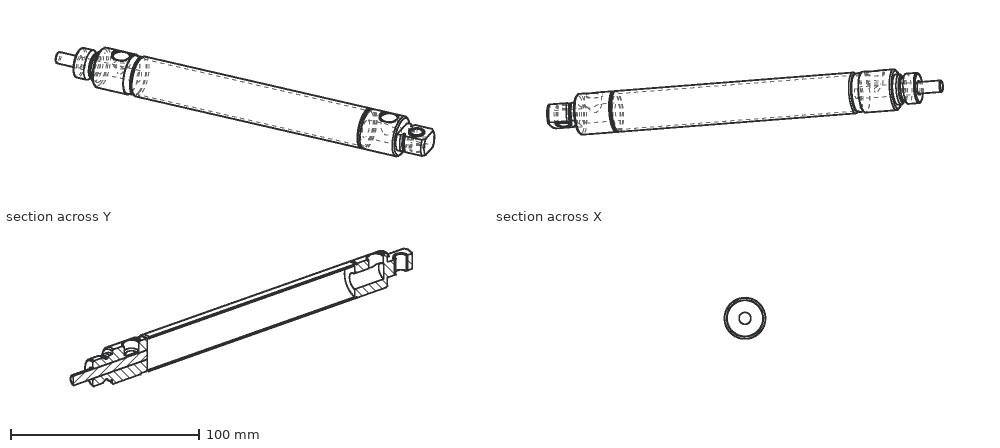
import cadquery as cq
import math

TOTAL_LENGTH = 216.7

BODY_DIA = 21.9
THREAD_DIA = 16.3
ROD_DIA = 6.3
BODY_CHAMFER = 0.9
ROD_CHAMFER = 0.55

NOSE_START = 12.5
NOSE_CHAMFER = 0.7
ROD_HOLE_CHAMFER = 0.7
NOSE_RELIEF_START = 19.0
NOSE_RELIEF_END = 23.0
RELIEF_DIA = 13.0
RELIEF_EDGE_CHAMFER = 0.98
FRONT_HEAD_START = 25.0
NECK_START = 43.1
NECK_DIA = 20.8
NECK_CHAMFER = 0.7

TUBE_START = 47.5
TUBE_END = 179.7
TUBE_BORE_DIA = 19.0

REAR_LAND_LENGTH = 0.5
REAR_GROOVE_DEPTH = 0.9
REAR_GROOVE_LENGTH = 1.0
REAR_HEAD_END = 200.9
EYE_RELIEF_START = 203.0
EYE_RELIEF_END = 205.7
EYE_THICKNESS = 10.0
EYE_END_CHAMFER = 1.3
CHAMBER_DIA = 9.5
CHAMBER_END = 198.3

FRONT_PORT_X = 37.3
REAR_PORT_X = 193.3
PORT_DIA = 8.9
COUNTERBORE_DIA = 10.5
COUNTERBORE_DEPTH = 1.0
FRONT_PORT_FLOOR_Z = 4.8
FRONT_PASSAGE_DIA = 6.3
DRILL_TIP_ANGLE = 118.0

BUSHING_X = 209.3
BUSHING_DIA = 8.5
BUSHING_BORE_DIA = 6.3
BUSHING_CHAMFER = 0.5

BODY_RADIUS = BODY_DIA / 2
THREAD_RADIUS = THREAD_DIA / 2
RELIEF_RADIUS = RELIEF_DIA / 2
NECK_RADIUS = NECK_DIA / 2


def cylinder_x(diameter, start, end):
    """Round bar along X between two stations."""
    return cq.Workplane("YZ", origin=(start, 0, 0)).circle(diameter / 2).extrude(end - start)


def cylinder_z(diameter, x, bottom, top):
    """Upright round bar crossing the cylinder axis at x."""
    return cq.Workplane("XY", origin=(x, 0, bottom)).circle(diameter / 2).extrude(top - bottom)


def turned(profile):
    """Solid of revolution about the X axis from (x, radius) points that start and end on the axis."""
    return cq.Workplane("XY").polyline(profile).close().revolve(360, (0, 0, 0), (1, 0, 0))


def cone_z(x, bottom_radius, bottom, top_radius, top):
    """Upright cone frustum crossing the cylinder axis line at x."""
    height = top - bottom
    return cq.Workplane(
        cq.Solid.makeCone(bottom_radius, top_radius, height, cq.Vector(x, 0, bottom), cq.Vector(0, 0, 1))
    )


def port_cut(x, floor_z):
    """Port hole from floor_z upwards, with a flat counterbore at its mouth."""
    hole = cylinder_z(PORT_DIA, x, floor_z, BODY_RADIUS)
    counterbore = cylinder_z(COUNTERBORE_DIA, x, BODY_RADIUS - COUNTERBORE_DEPTH, BODY_RADIUS)
    return hole.union(counterbore)


def make_rod():
    """Piston rod, from its tip to the inner end of the front head."""
    return cylinder_x(ROD_DIA, 0, TUBE_START).faces("<X").chamfer(ROD_CHAMFER)


def make_front_head():
    """Front head: threaded nose with a thread relief, ported body and a neck that meets the tube."""
    head = turned([
        (NOSE_START, 0),
        (NOSE_START, THREAD_RADIUS - NOSE_CHAMFER),
        (NOSE_START + NOSE_CHAMFER, THREAD_RADIUS),
        (NOSE_RELIEF_START, THREAD_RADIUS),
        (NOSE_RELIEF_START + RELIEF_EDGE_CHAMFER, THREAD_RADIUS - RELIEF_EDGE_CHAMFER),
        (NOSE_RELIEF_START + 2 * RELIEF_EDGE_CHAMFER, RELIEF_RADIUS),
        (NOSE_RELIEF_END - RELIEF_EDGE_CHAMFER, RELIEF_RADIUS),
        (NOSE_RELIEF_END - RELIEF_EDGE_CHAMFER, THREAD_RADIUS - RELIEF_EDGE_CHAMFER),
        (NOSE_RELIEF_END, THREAD_RADIUS),
        (FRONT_HEAD_START, THREAD_RADIUS),
        (FRONT_HEAD_START, BODY_RADIUS - BODY_CHAMFER),
        (FRONT_HEAD_START + BODY_CHAMFER, BODY_RADIUS),
        (NECK_START, BODY_RADIUS),
        (NECK_START, NECK_RADIUS),
        (TUBE_START - NECK_CHAMFER, NECK_RADIUS),
        (TUBE_START, NECK_RADIUS - NECK_CHAMFER),
        (TUBE_START, 0),
    ])
    rod_hole = turned([
        (NOSE_START, 0),
        (NOSE_START, ROD_DIA / 2 + ROD_HOLE_CHAMFER),
        (NOSE_START + ROD_HOLE_CHAMFER, ROD_DIA / 2),
        (TUBE_START, ROD_DIA / 2),
        (TUBE_START, 0),
    ])
    cone_width = (PORT_DIA - FRONT_PASSAGE_DIA) / 2
    cone_depth = cone_width / math.tan(math.radians(DRILL_TIP_ANGLE / 2))
    drill_cone = cone_z(
        FRONT_PORT_X, FRONT_PASSAGE_DIA / 2, FRONT_PORT_FLOOR_Z - cone_depth, PORT_DIA / 2, FRONT_PORT_FLOOR_Z
    )
    passage = cylinder_z(FRONT_PASSAGE_DIA, FRONT_PORT_X, 0, FRONT_PORT_FLOOR_Z)
    return head.cut(rod_hole).cut(port_cut(FRONT_PORT_X, FRONT_PORT_FLOOR_Z)).cut(drill_cone).cut(passage)


def make_tube():
    """Barrel between the two heads."""
    tube = cylinder_x(BODY_DIA, TUBE_START, TUBE_END).faces("<X").chamfer(BODY_CHAMFER)
    return tube.cut(cylinder_x(TUBE_BORE_DIA, TUBE_START, TUBE_END))


def make_rear_head():
    """Rear head: ported body with an air chamber open to the tube, and a pivot eye behind a relief."""
    groove_start = TUBE_END + REAR_LAND_LENGTH
    groove_end = groove_start + REAR_GROOVE_LENGTH
    head = turned([
        (TUBE_END, 0),
        (TUBE_END, BODY_RADIUS),
        (groove_start, BODY_RADIUS),
        (groove_end, BODY_RADIUS - REAR_GROOVE_DEPTH),
        (groove_end, BODY_RADIUS),
        (REAR_HEAD_END - BODY_CHAMFER, BODY_RADIUS),
        (REAR_HEAD_END, BODY_RADIUS - BODY_CHAMFER),
        (REAR_HEAD_END, 0),
    ])
    eye = turned([
        (REAR_HEAD_END, 0),
        (REAR_HEAD_END, THREAD_RADIUS),
        (EYE_RELIEF_START, THREAD_RADIUS),
        (EYE_RELIEF_START + RELIEF_EDGE_CHAMFER, THREAD_RADIUS - RELIEF_EDGE_CHAMFER),
        (EYE_RELIEF_START + RELIEF_EDGE_CHAMFER, RELIEF_RADIUS),
        (EYE_RELIEF_END - RELIEF_EDGE_CHAMFER, RELIEF_RADIUS),
        (EYE_RELIEF_END - RELIEF_EDGE_CHAMFER, THREAD_RADIUS - RELIEF_EDGE_CHAMFER),
        (EYE_RELIEF_END, THREAD_RADIUS),
        (TOTAL_LENGTH - EYE_END_CHAMFER, THREAD_RADIUS),
        (TOTAL_LENGTH, THREAD_RADIUS - EYE_END_CHAMFER),
        (TOTAL_LENGTH, 0),
    ])
    slab = cq.Workplane("XY").box(TOTAL_LENGTH, BODY_DIA, EYE_THICKNESS).translate((TOTAL_LENGTH / 2, 0, 0))
    eye = eye.intersect(slab)
    eye = eye.cut(make_bushing_blank())
    chamber = cylinder_x(CHAMBER_DIA, TUBE_END, CHAMBER_END)
    return head.union(eye).cut(chamber).cut(port_cut(REAR_PORT_X, 0))


def make_bushing_blank():
    """Solid disc that fills the hole in the eye; it also cuts that hole."""
    return cylinder_z(BUSHING_DIA, BUSHING_X, -EYE_THICKNESS / 2, EYE_THICKNESS / 2)


def make_bushing():
    """Plain bushing, flush with the eye flats, with its outer rims chamfered."""
    bore = cylinder_z(BUSHING_BORE_DIA, BUSHING_X, -EYE_THICKNESS / 2, EYE_THICKNESS / 2)
    return make_bushing_blank().faces("<Z or >Z").chamfer(BUSHING_CHAMFER).cut(bore)


rod = make_rod()
front_head = make_front_head()
tube = make_tube()
rear_head = make_rear_head()
bushing = make_bushing()

result = cq.Compound.makeCompound([
    rod.val(),
    front_head.val(),
    tube.val(),
    rear_head.val(),
    bushing.val(),
])